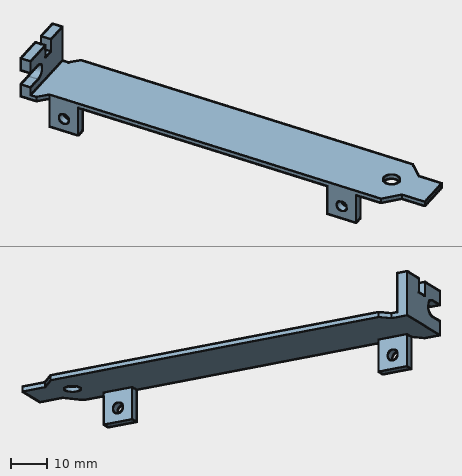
import cadquery as cq

TOTAL_LENGTH = 122.02
TOTAL_WIDTH = 21.08
TOTAL_HEIGHT = 22.25
STRIP_WIDTH = 18.4
STRIP_THICKNESS = 1.5
STRIP_FRONT = TOTAL_WIDTH - STRIP_WIDTH

FLANGE_WIDTH = 18.5
FLANGE_HEIGHT = 12.9
FLANGE_THICKNESS = 3.1
FOOT_LENGTH = 4.9
FOOT_TAPER_LENGTH = 2.6

TONGUE_LENGTH = 7.15
TONGUE_WIDTH = 9.9
TONGUE_FRONT = 7.1
TONGUE_TAPER_LENGTH = 4.1

STRIP_HOLE_DIAMETER = 4.6
STRIP_HOLE_X = 109.0
STRIP_HOLE_Y = TONGUE_FRONT + TONGUE_WIDTH / 2

NOTCH_WIDTH = 3.2
NOTCH_DEPTH = 4.1
NOTCH_FRONT = 8.6
SLOT_HEIGHT = 4.7
SLOT_DEPTH = 6.7
SLOT_TOP = FLANGE_HEIGHT - NOTCH_DEPTH

LUG_LENGTH = 9.0
LUG_THICKNESS = 2.65
LUG_DROP = TOTAL_HEIGHT - FLANGE_HEIGHT
LUG_HOLE_DIAMETER = 3.1
LUG_HOLE_HEIGHT = 4.1
LUG_FIRST_X = FOOT_LENGTH + FOOT_TAPER_LENGTH
LUG_SPACING = 86.5
LUG_COUNT = 2


def make_strip():
    """Flat plate with the flange foot, both tapers, the tongue and its hole."""
    foot_taper_end = FOOT_LENGTH + FOOT_TAPER_LENGTH
    tongue_start = TOTAL_LENGTH - TONGUE_LENGTH
    tongue_taper_start = tongue_start - TONGUE_TAPER_LENGTH
    tongue_back = TONGUE_FRONT + TONGUE_WIDTH
    outline = [
        (0, 0),
        (FOOT_LENGTH, 0),
        (foot_taper_end, STRIP_FRONT),
        (tongue_taper_start, STRIP_FRONT),
        (tongue_start, TONGUE_FRONT),
        (TOTAL_LENGTH, TONGUE_FRONT),
        (TOTAL_LENGTH, tongue_back),
        (tongue_start, tongue_back),
        (tongue_taper_start, TOTAL_WIDTH),
        (foot_taper_end, TOTAL_WIDTH),
        (FOOT_LENGTH, FLANGE_WIDTH),
        (0, FLANGE_WIDTH),
    ]
    strip = cq.Workplane("XY").polyline(outline).close().extrude(STRIP_THICKNESS)
    hole = (
        cq.Workplane("XY")
        .center(STRIP_HOLE_X, STRIP_HOLE_Y)
        .circle(STRIP_HOLE_DIAMETER / 2)
        .extrude(STRIP_THICKNESS)
    )
    return strip.cut(hole)


def make_flange():
    """Upright end wall; its outline in Y and Z includes the notch and the slot."""
    slot_radius = SLOT_HEIGHT / 2
    slot_bottom = SLOT_TOP - SLOT_HEIGHT
    slot_center_y = SLOT_DEPTH - slot_radius
    notch_back = NOTCH_FRONT + NOTCH_WIDTH
    notch_floor = FLANGE_HEIGHT - NOTCH_DEPTH
    return (
        cq.Workplane("YZ")
        .moveTo(0, 0)
        .lineTo(0, slot_bottom)
        .lineTo(slot_center_y, slot_bottom)
        .threePointArc((SLOT_DEPTH, slot_bottom + slot_radius), (slot_center_y, SLOT_TOP))
        .lineTo(0, SLOT_TOP)
        .lineTo(0, FLANGE_HEIGHT)
        .lineTo(NOTCH_FRONT, FLANGE_HEIGHT)
        .lineTo(NOTCH_FRONT, notch_floor)
        .lineTo(notch_back, notch_floor)
        .lineTo(notch_back, FLANGE_HEIGHT)
        .lineTo(FLANGE_WIDTH, FLANGE_HEIGHT)
        .lineTo(FLANGE_WIDTH, 0)
        .close()
        .extrude(FLANGE_THICKNESS)
    )


def make_lug(start_x):
    """One drilled lug, reaching up through the strip's thickness."""
    lug_height = LUG_DROP + STRIP_THICKNESS
    lug = (
        cq.Workplane("XY")
        .box(LUG_LENGTH, LUG_THICKNESS, lug_height, centered=False)
        .translate((start_x, STRIP_FRONT, -LUG_DROP))
    )
    hole = (
        cq.Workplane("XZ", origin=(start_x + LUG_LENGTH / 2, STRIP_FRONT, LUG_HOLE_HEIGHT - LUG_DROP))
        .circle(LUG_HOLE_DIAMETER / 2)
        .extrude(-LUG_THICKNESS)
    )
    return lug.cut(hole)


result = make_strip().union(make_flange())
for index in range(LUG_COUNT):
    result = result.union(make_lug(LUG_FIRST_X + index * LUG_SPACING))